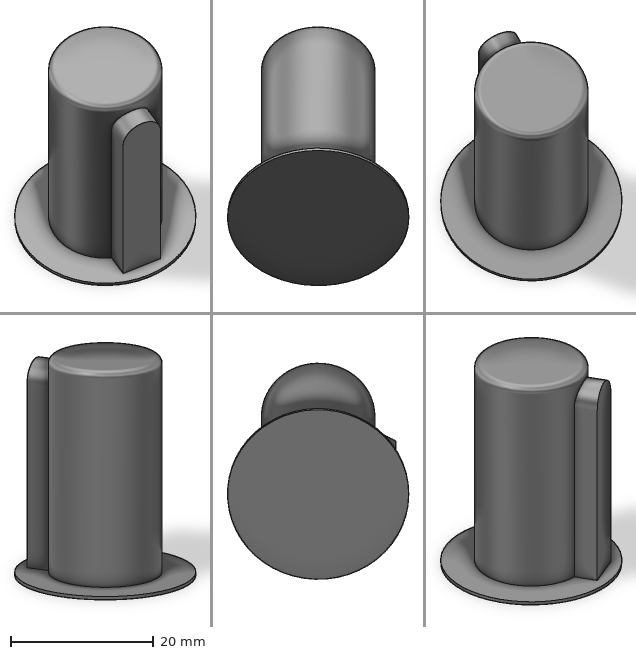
import cadquery as cq

flange_diameter = 25.5
flange_thickness = 0.5
body_diameter = 16.0
total_height = 32.0
top_fillet = 1.0
rib_width = 6.0
rib_reach = 10.8
rib_top = 30.5

rib_radius = rib_width / 2
rib_arc_centre = rib_top - rib_radius


def make_flange():
    """Thin round disc at the base."""
    return cq.Workplane("XY").circle(flange_diameter / 2).extrude(flange_thickness)


def make_body():
    """Upright cylinder with a rounded top edge."""
    body = cq.Workplane("XY").circle(body_diameter / 2).extrude(total_height)
    return body.faces(">Z").edges().fillet(top_fillet)


def make_rib():
    """Round-topped rib on the +X side, running from the body axis outwards."""
    return (
        cq.Workplane("YZ")
        .moveTo(-rib_radius, 0)
        .lineTo(rib_radius, 0)
        .lineTo(rib_radius, rib_arc_centre)
        .threePointArc((0, rib_top), (-rib_radius, rib_arc_centre))
        .close()
        .extrude(rib_reach)
    )


result = make_flange().union(make_body()).union(make_rib())